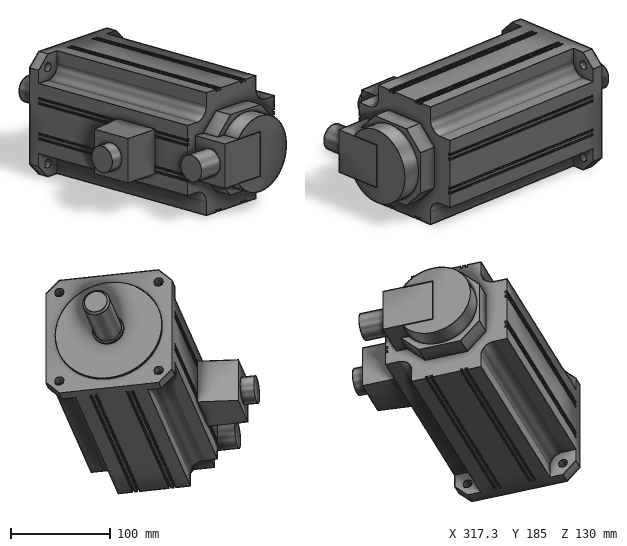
import cadquery as cq


collar_start = 57.7
pilot_start = 60.0
flange_start = 62.5
flange_end = 75.0
body_end = 277.3
encoder_end = 297.0
cover_end = 316.5
encoder_block_end = 317.3

shaft_diameter = 28.0
shaft_chamfer = 2.2
collar_diameter = 31.7

frame_width = 130.0
pilot_diameter = 109.8
corner_size = 14.0
hole_diameter = 9.2
groove_width = 2.2
groove_depth = 2.2
groove_spacing = 5.0
groove_pair_offset = 18.7

encoder_width = 85.0
encoder_chamfer = 20.0
cover_diameter = 80.0

connector_height = 47.0
plug_diameter = 28.0
encoder_block_reach = 53.3
encoder_plug_reach = 81.5
encoder_plug_x = 297.0
power_block_start = 182.0
power_block_end = 233.2
power_block_slant = 5.7
power_block_reach = 106.0
power_plug_reach = 120.0
power_plug_x = 210.7

half_frame = frame_width / 2
notch_size = 2 * corner_size
hole_pitch = frame_width - 2 * corner_size
body_length = body_end - flange_end


def cylinder_along_x(diameter, start, end):
    return cq.Workplane("YZ", origin=(start, 0, 0)).circle(diameter / 2).extrude(end - start)


def square_along_x(width, start, end):
    return cq.Workplane("YZ", origin=(start, 0, 0)).rect(width, width).extrude(end - start)


def make_shaft():
    """Chamfered shaft with a collar that rests on the pilot face of the housing."""
    rod = cylinder_along_x(shaft_diameter, 0, pilot_start).faces("<X").chamfer(shaft_chamfer)
    return rod.union(cylinder_along_x(collar_diameter, collar_start, pilot_start))


def make_flange():
    """Square flange with chamfered corners, four bolt holes and a round pilot."""
    flange = square_along_x(frame_width, flange_start, flange_end).edges("|X").chamfer(corner_size)
    holes = (
        cq.Workplane("YZ", origin=(flange_start, 0, 0))
        .rect(hole_pitch, hole_pitch, forConstruction=True)
        .vertices()
        .circle(hole_diameter / 2)
        .extrude(flange_end - flange_start)
    )
    return flange.cut(holes).union(cylinder_along_x(pilot_diameter, pilot_start, flange_start))


def make_corner_relief():
    """Notch along the +Y +Z corner of the body, rounded at its inner edge."""
    middle = half_frame - notch_size / 2
    return (
        cq.Workplane("YZ", origin=(flange_end, middle, middle))
        .rect(notch_size, notch_size)
        .extrude(body_length)
        .edges("|X and <Y and <Z")
        .fillet(corner_size)
    )


def make_side_grooves():
    """Two pairs of grooves along the +Z side of the body."""
    offsets = [
        pair_side * groove_pair_offset + groove_side * groove_spacing / 2
        for pair_side in (-1, 1)
        for groove_side in (-1, 1)
    ]
    return (
        cq.Workplane("YZ", origin=(flange_end, 0, half_frame - groove_depth / 2))
        .pushPoints([(offset, 0) for offset in offsets])
        .rect(groove_width, groove_depth)
        .extrude(body_length)
    )


def make_body():
    """Square body with the same corner relief and grooves on each of its four sides."""
    body = square_along_x(frame_width, flange_end, body_end)
    relief = make_corner_relief()
    grooves = make_side_grooves()
    for angle in (0, 90, 180, 270):
        body = body.cut(relief.rotate((0, 0, 0), (1, 0, 0), angle))
        body = body.cut(grooves.rotate((0, 0, 0), (1, 0, 0), angle))
    return body


def make_plug(x, start_reach, end_reach):
    """Round cable plug that points toward -Y."""
    return (
        cq.Workplane("XZ", origin=(x, -start_reach, 0))
        .circle(plug_diameter / 2)
        .extrude(end_reach - start_reach)
    )


def make_encoder():
    """Eight-sided encoder housing with a round cover and a side connector."""
    housing = square_along_x(encoder_width, body_end, encoder_end).edges("|X").chamfer(encoder_chamfer)
    cover = cylinder_along_x(cover_diameter, encoder_end, cover_end)
    block = cq.Workplane("XY").box(
        encoder_block_end - body_end, encoder_block_reach, connector_height, centered=(False, False, True)
    )
    block = block.translate((body_end, -encoder_block_reach, 0))
    plug = make_plug(encoder_plug_x, encoder_block_reach, encoder_plug_reach)
    return housing.union(cover).union(block).union(plug)


def make_power_connector():
    """Terminal block with a slanted front face and a round plug."""
    block = (
        cq.Workplane("XY")
        .polyline([
            (power_block_start, -half_frame),
            (power_block_end, -half_frame),
            (power_block_end, -power_block_reach),
            (power_block_start + power_block_slant, -power_block_reach),
        ])
        .close()
        .extrude(connector_height / 2, both=True)
    )
    return block.union(make_plug(power_plug_x, power_block_reach, power_plug_reach))


def make_housing():
    """Flange, body, encoder and power connector as one solid."""
    return make_flange().union(make_body()).union(make_encoder()).union(make_power_connector())


shaft = make_shaft()
housing = make_housing()

result = cq.Compound.makeCompound([housing.val(), shaft.val()])